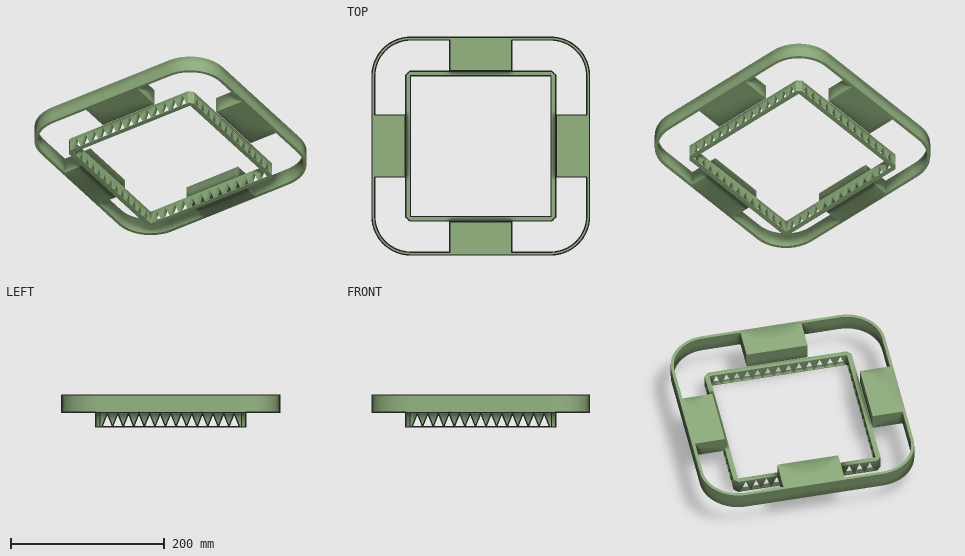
import cadquery as cq

ring_width = 283.8
ring_depth = 284.0
ring_height = 22.7
ring_wall = 4.0
corner_radius = 51.0

block_length = 81.0
block_gap = 0.5

frame_width = 195.5
frame_height = 19.3
frame_wall = 6.3
frame_chamfer = 5.5

window_count = 13
window_row_width = 179.0
window_spacing = 0.3
window_sill = 0.9
window_height = 16.8

ring_bottom = frame_height
window_pitch = window_row_width / window_count
block_span = frame_width + 2 * block_gap


def rounded_plate(width, depth, radius):
    """Plate of the ring's height with rounded vertical edges."""
    plate = cq.Workplane("XY", origin=(0, 0, ring_bottom)).rect(width, depth).extrude(ring_height)
    return plate.edges("|Z").fillet(radius)


def ring_bar(length_x, length_y):
    """Centred bar of the ring's height, lying across the ring."""
    return cq.Workplane("XY", origin=(0, 0, ring_bottom)).rect(length_x, length_y).extrude(ring_height)


def make_ring():
    """Rounded ring with four blocks that reach inward to just short of the frame."""
    outside = rounded_plate(ring_width, ring_depth, corner_radius)
    inside = rounded_plate(ring_width - 2 * ring_wall, ring_depth - 2 * ring_wall, corner_radius - ring_wall)
    cross = ring_bar(ring_width, block_length).union(ring_bar(block_length, ring_depth))
    blocks = cross.cut(ring_bar(block_span, block_span))
    return outside.cut(inside).union(blocks)


def make_window_row():
    """Row of triangular prisms along X, long enough to pass through both opposite walls."""
    half_base = (window_pitch - window_spacing) / 2
    centers = [(i + 0.5) * window_pitch - window_row_width / 2 for i in range(window_count)]
    row = cq.Workplane("XZ")
    for center_x in centers:
        row = (
            row.moveTo(center_x - half_base, window_sill)
            .lineTo(center_x + half_base, window_sill)
            .lineTo(center_x, window_sill + window_height)
            .close()
        )
    return row.extrude(frame_width, both=True)


def make_frame():
    """Square frame with chamfered outer corners and triangular windows in all four walls."""
    opening = frame_width - 2 * frame_wall
    frame = cq.Workplane("XY").rect(frame_width, frame_width).extrude(frame_height)
    frame = frame.edges("|Z").chamfer(frame_chamfer)
    frame = frame.cut(cq.Workplane("XY").rect(opening, opening).extrude(frame_height))
    for angle in (0, 90):
        frame = frame.cut(make_window_row().rotate((0, 0, 0), (0, 0, 1), angle))
    return frame


ring = make_ring()
frame = make_frame()
result = cq.Compound.makeCompound([ring.val(), frame.val()])